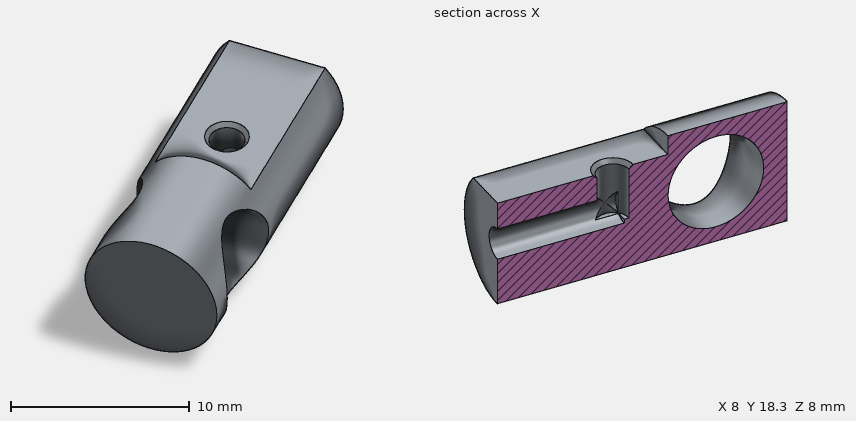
import cadquery as cq

body_diameter = 8.0
body_length = 18.3
front_y = -body_length / 2
back_y = body_length / 2

flat_start = 7.55
flat_height = 2.75

cross_hole_diameter = 6.0
cross_hole_y = front_y + 4.5

screw_hole_diameter = 2.0
screw_hole_y = front_y + 11.0
screw_chamfer = 0.25
screw_hole_depth = 3.5

bore_diameter = 2.0
bore_depth = 8.0


def make_body():
    """Solid cylinder running from the front face to the back face."""
    return (
        cq.Workplane("XZ", origin=(0, front_y, 0))
        .circle(body_diameter / 2)
        .extrude(-body_length)
    )


def make_flat_cut():
    """Block removed above the flat."""
    flat_length = body_length - flat_start
    cut_height = body_diameter / 2 - flat_height
    return (
        cq.Workplane("XY")
        .box(body_diameter, flat_length, cut_height, centered=(True, False, False))
        .translate((0, front_y + flat_start, flat_height))
    )


def make_cross_hole():
    """Through hole along X."""
    return (
        cq.Workplane("YZ", origin=(-body_diameter / 2, 0, 0))
        .center(cross_hole_y, 0)
        .circle(cross_hole_diameter / 2)
        .extrude(body_diameter)
    )


def make_screw_hole():
    """Flat-bottomed hole with a 45 degree chamfer at its mouth, revolved about its axis."""
    hole_radius = screw_hole_diameter / 2
    floor_z = flat_height - screw_hole_depth
    mouth_radius = hole_radius + screw_chamfer
    return (
        cq.Workplane("XZ", origin=(0, screw_hole_y, 0))
        .moveTo(0, floor_z)
        .lineTo(hole_radius, floor_z)
        .lineTo(hole_radius, flat_height - screw_chamfer)
        .lineTo(mouth_radius, flat_height)
        .lineTo(0, flat_height)
        .close()
        .revolve(360, (0, 0, 0), (0, 1, 0))
    )


def make_axial_bore():
    """Flat-bottomed bore on the body axis, open at the back face."""
    return (
        cq.Workplane("XZ", origin=(0, back_y, 0))
        .circle(bore_diameter / 2)
        .extrude(bore_depth)
    )


result = (
    make_body()
    .cut(make_flat_cut())
    .cut(make_cross_hole())
    .cut(make_axial_bore())
    .cut(make_screw_hole())
)